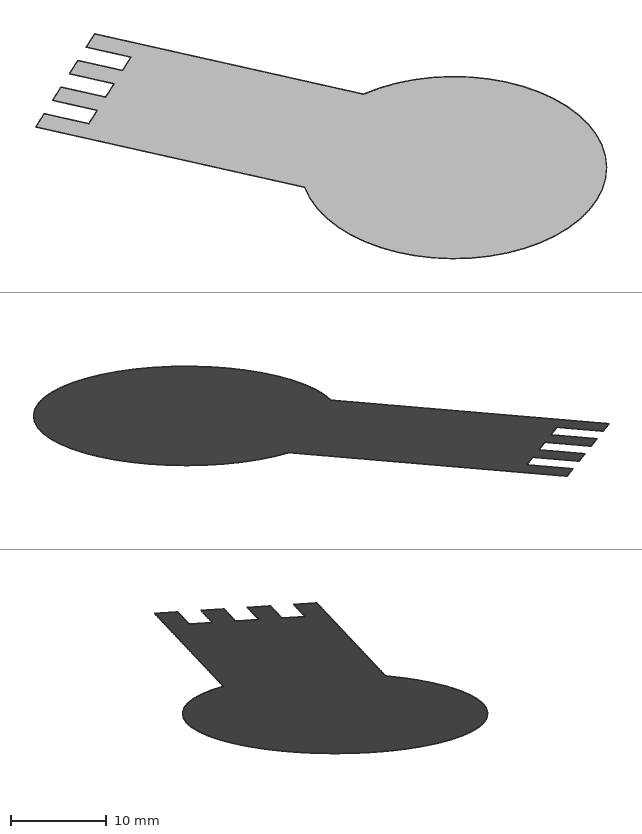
import cadquery as cq

total_length = 59.45
head_diameter = 32.0
thickness = 0.05
tooth_width = 2.5
tooth_length = 5.0
tooth_count = 4

gap_count = tooth_count - 1
strip_width = (tooth_count + gap_count) * tooth_width
tooth_pitch = 2 * tooth_width
strip_length = total_length - head_diameter / 2

head = cq.Workplane("XY").circle(head_diameter / 2).extrude(thickness)

strip = (
    cq.Workplane("XY")
    .center(-strip_length / 2, 0)
    .rect(strip_length, strip_width)
    .extrude(thickness)
)

gaps = (
    cq.Workplane("XY")
    .center(-strip_length + tooth_length / 2, 0)
    .rarray(tooth_pitch, tooth_pitch, 1, gap_count)
    .rect(tooth_length, tooth_width)
    .extrude(thickness)
)

result = head.union(strip).cut(gaps).clean()